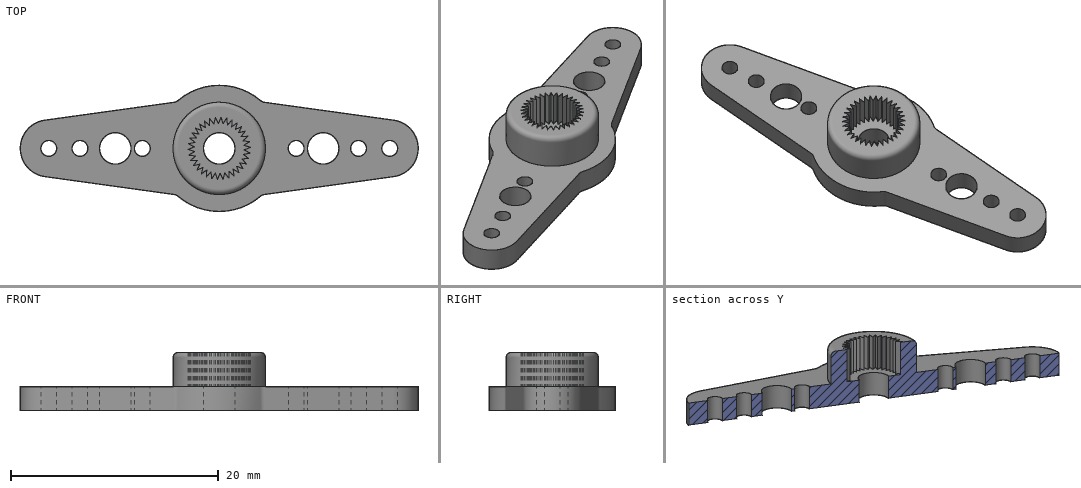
import cadquery as cq
import math

plate_thickness = 2.3
hub_radius = 6.08
tip_center_x = 16.4
tip_radius = 2.75
taper_circle_radius = 5.0
neck_fillet = 0.7

total_height = 5.6
boss_diameter = 8.9
boss_edge_fillet = 0.5

spline_teeth = 34
spline_root_radius = 3.0
spline_tip_radius = 2.4
spline_depth = total_height - plate_thickness
spline_pitch_angle = 2 * math.pi / spline_teeth
spline_start_angle = math.radians(1.9)

screw_hole_diameter = 3.0
large_hole_diameter = 3.0
large_hole_x = 10.0
small_hole_diameter = 1.5
small_hole_positions = (7.4, 13.4, 16.4)


def polar(radius, angle):
    return (radius * math.cos(angle), radius * math.sin(angle))


def make_arms():
    """Double-ended taper: each flank is tangent to the tip circle and to the taper circle."""
    slope_angle = math.asin((taper_circle_radius - tip_radius) / tip_center_x)
    tangent_x, tangent_y = polar(tip_radius, math.pi / 2 - slope_angle)
    tangent_x += tip_center_x
    tip_x = tip_center_x + tip_radius
    ridge_y = taper_circle_radius / math.cos(slope_angle)
    return (
        cq.Workplane("XY")
        .moveTo(0, ridge_y)
        .lineTo(tangent_x, tangent_y)
        .threePointArc((tip_x, 0), (tangent_x, -tangent_y))
        .lineTo(0, -ridge_y)
        .lineTo(-tangent_x, -tangent_y)
        .threePointArc((-tip_x, 0), (-tangent_x, tangent_y))
        .close()
        .extrude(plate_thickness)
    )


def make_plate():
    """Arms joined to the round hub, with the four inside corners rounded."""
    hub = cq.Workplane("XY").circle(hub_radius).extrude(plate_thickness)
    plate = make_arms().union(hub)
    neck_zone = cq.selectors.BoxSelector(
        (-hub_radius, -hub_radius, 0),
        (hub_radius, hub_radius, plate_thickness),
    )
    necks = plate.edges("|Z").edges(neck_zone)
    return necks.fillet(neck_fillet)


def make_boss():
    boss = cq.Workplane("XY").circle(boss_diameter / 2).extrude(total_height)
    return boss.faces(">Z").edges().fillet(boss_edge_fillet)


def make_spline_socket():
    """Blind socket with pointed V grooves, open at the top of the boss."""
    outline = []
    for tooth in range(spline_teeth):
        groove_angle = spline_start_angle + tooth * spline_pitch_angle
        outline.append(polar(spline_root_radius, groove_angle))
        outline.append(polar(spline_tip_radius, groove_angle + spline_pitch_angle / 2))
    return (
        cq.Workplane("XY")
        .workplane(offset=total_height - spline_depth)
        .polyline(outline)
        .close()
        .extrude(spline_depth)
    )


def make_holes():
    """Central screw hole and the mirrored rows of linkage holes, all through."""
    small_points = [(side * x, 0) for side in (-1, 1) for x in small_hole_positions]
    large_points = [(side * large_hole_x, 0) for side in (-1, 1)]
    screw_hole = cq.Workplane("XY").circle(screw_hole_diameter / 2).extrude(total_height)
    small_holes = (
        cq.Workplane("XY").pushPoints(small_points).circle(small_hole_diameter / 2).extrude(plate_thickness)
    )
    large_holes = (
        cq.Workplane("XY").pushPoints(large_points).circle(large_hole_diameter / 2).extrude(plate_thickness)
    )
    return screw_hole.add(small_holes).add(large_holes).combine()


result = make_plate().union(make_boss()).cut(make_spline_socket()).cut(make_holes())